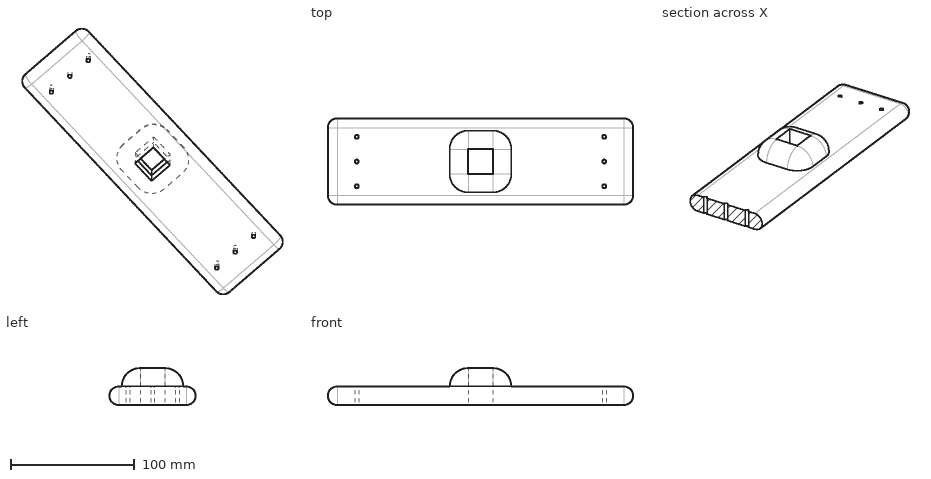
import cadquery as cq

plate_length = 247.0
plate_width = 70.0
plate_thickness = 15.0
edge_radius = plate_thickness / 2

collar_side = 50.0
opening_side = 20.0
collar_radius = (collar_side - opening_side) / 2
total_height = plate_thickness + collar_radius

screw_diameter = 3.0
screw_row_distance = 200.0
screw_pitch = 20.0
screws_per_row = 3


def square_opening():
    """Square bar that cuts the opening through both bodies."""
    return cq.Workplane("XY").rect(opening_side, opening_side).extrude(total_height)


def make_plate():
    """Plate whose edges are half-round and whose corners are spherical."""
    core_length = plate_length - 2 * edge_radius
    core_width = plate_width - 2 * edge_radius
    plate = cq.Workplane("XY").rect(core_length, core_width).extrude(plate_thickness)
    middle = cq.Workplane("XY").workplane(offset=edge_radius)
    for side in (-1, 1):
        end_x = side * core_length / 2
        long_edge = (
            cq.Workplane("YZ", origin=(-core_length / 2, side * core_width / 2, edge_radius))
            .circle(edge_radius)
            .extrude(core_length)
        )
        short_edge = (
            cq.Workplane("XZ", origin=(end_x, core_width / 2, edge_radius))
            .circle(edge_radius)
            .extrude(core_width)
        )
        corners = middle.pushPoints(
            [(end_x, -core_width / 2), (end_x, core_width / 2)]
        ).sphere(edge_radius)
        plate = plate.union(long_edge).union(short_edge).union(corners)

    screw_holes = (
        cq.Workplane("XY")
        .rarray(screw_row_distance, screw_pitch, 2, screws_per_row)
        .circle(screw_diameter / 2)
        .extrude(plate_thickness)
    )
    return plate.cut(screw_holes).cut(square_opening())


def make_collar():
    """Quarter-round wall around the opening, with a quarter sphere at each corner."""
    half_opening = opening_side / 2
    base = cq.Workplane("XY").workplane(offset=plate_thickness)
    corner_points = [(x, y) for x in (-half_opening, half_opening) for y in (-half_opening, half_opening)]
    collar = base.pushPoints(corner_points).sphere(collar_radius)
    for side in (-1, 1):
        offset = side * half_opening
        wall_along_x = (
            cq.Workplane("YZ", origin=(-half_opening, offset, plate_thickness))
            .circle(collar_radius)
            .extrude(opening_side)
        )
        wall_along_y = (
            cq.Workplane("XZ", origin=(offset, half_opening, plate_thickness))
            .circle(collar_radius)
            .extrude(opening_side)
        )
        collar = collar.union(wall_along_x).union(wall_along_y)
    keep_above_plate = base.rect(collar_side, collar_side).extrude(collar_radius)
    return collar.intersect(keep_above_plate).cut(square_opening())


plate = make_plate()
collar = make_collar()

result = cq.Compound.makeCompound([plate.val(), collar.val()])